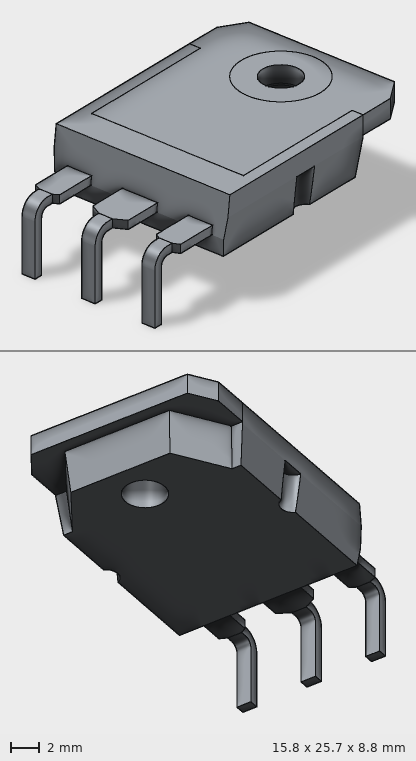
import cadquery as cq
import math


WIDTH = 15.8
LENGTH = 25.68
HEIGHT = 8.8
DRAFT_ANGLE = 7.0
DRAFT = math.tan(math.radians(DRAFT_ANGLE))

TAB_THICKNESS = 1.65
TAB_WIDE_LENGTH = 5.0
TAB_LENGTH = 16.97
RAIL_WIDTH = 1.0
CORNER_X = 1.28
CORNER_Y = 2.0

HOLE_Y = -4.5
HOLE_DIAMETER = 3.3
RING_DIAMETER = 7.2
RING_DEPTH = 1.5

HOUSING_DEPTH = 5.0
HOUSING_FRONT = 19.67
FLANGE_DEPTH = 1.8
PARTING_DEPTH = 3.52
NOSE_REAR = 1.0
NOSE_REAR_WIDTH = 8.83
NOSE_OVERLAP = 1.15
NOTCH_Y = -11.32
NOTCH_RADIUS = 0.98

LEAD_THICKNESS = 0.75
LEAD_TOP = LEAD_THICKNESS - PARTING_DEPTH
BLADE_END = 23.78
BEND_RADIUS = 1.39
SIDE_BLADE_X = 5.5
SIDE_BLADE_WIDTH = 2.2
SIDE_BLADE_SHOULDER = 23.52
CENTRE_BLADE_WIDTH = 3.2
CENTRE_BLADE_SHOULDER = 23.25
SIDE_PIN_X = 5.45
SIDE_PIN_WIDTH = 1.18
CENTRE_PIN_WIDTH = 1.23


def drilled(body, diameter, depth):
    """Cut a round hole on the mounting axis, from the top face down."""
    hole = cq.Workplane("XY").center(0, HOLE_Y).circle(diameter / 2).extrude(-depth)
    return body.cut(hole)


def make_ring():
    ring = cq.Workplane("XY").center(0, HOLE_Y).circle(RING_DIAMETER / 2).extrude(-RING_DEPTH)
    return drilled(ring, HOLE_DIAMETER, RING_DEPTH)


def make_tab():
    """Wide rear plate with cut corners, and a narrower plate between the housing rails."""
    wide_half = WIDTH / 2
    narrow_half = wide_half - RAIL_WIDTH
    right_edge = [
        (wide_half - CORNER_X, 0),
        (wide_half, -CORNER_Y),
        (wide_half, -TAB_WIDE_LENGTH),
        (narrow_half, -TAB_WIDE_LENGTH),
        (narrow_half, -TAB_LENGTH),
    ]
    left_edge = [(-x, y) for x, y in reversed(right_edge)]
    tab = cq.Workplane("XY").polyline(right_edge + left_edge).close().extrude(-TAB_THICKNESS)
    tab = drilled(tab, RING_DIAMETER, RING_DEPTH)
    return drilled(tab, HOLE_DIAMETER, TAB_THICKNESS)


def housing_block():
    """Main block: the long section across its width, trimmed by the drafted cross-section."""
    rear_bottom = -TAB_WIDE_LENGTH - (HOUSING_DEPTH - FLANGE_DEPTH) * DRAFT
    front_parting = -HOUSING_FRONT - PARTING_DEPTH * DRAFT
    front_bottom = front_parting + (HOUSING_DEPTH - PARTING_DEPTH) * DRAFT
    long_section = [
        (-TAB_WIDE_LENGTH, 0),
        (-TAB_WIDE_LENGTH, -FLANGE_DEPTH),
        (rear_bottom, -HOUSING_DEPTH),
        (front_bottom, -HOUSING_DEPTH),
        (front_parting, -PARTING_DEPTH),
        (-HOUSING_FRONT, 0),
    ]
    block = cq.Workplane("YZ").polyline(long_section).close().extrude(WIDTH / 2, both=True)

    bottom_half = WIDTH / 2 - (HOUSING_DEPTH - FLANGE_DEPTH) * DRAFT
    right_edge = [(WIDTH / 2, 0), (WIDTH / 2, -FLANGE_DEPTH), (bottom_half, -HOUSING_DEPTH)]
    left_edge = [(-x, z) for x, z in reversed(right_edge)]
    cross_section = cq.Workplane("XZ").polyline(right_edge + left_edge).close().extrude(LENGTH)
    return block.intersect(cross_section)


def housing_nose():
    """Drafted nose under the wide part of the tab, its sides parallel to the tab's cut corners."""
    front = TAB_WIDE_LENGTH + NOSE_OVERLAP
    rear_half = NOSE_REAR_WIDTH / 2
    front_half = rear_half + (front - NOSE_REAR) * CORNER_X / CORNER_Y
    outline = [
        (rear_half, -NOSE_REAR),
        (front_half, -front),
        (-front_half, -front),
        (-rear_half, -NOSE_REAR),
    ]
    return (
        cq.Workplane("XY", origin=(0, 0, -TAB_THICKNESS))
        .polyline(outline)
        .close()
        .extrude(TAB_THICKNESS - HOUSING_DEPTH, taper=DRAFT_ANGLE)
    )


def side_notches():
    """Upright round notches in both drafted sides, below the flange."""
    return (
        cq.Workplane("XY", origin=(0, NOTCH_Y, -FLANGE_DEPTH))
        .pushPoints([(-WIDTH / 2, 0), (WIDTH / 2, 0)])
        .circle(NOTCH_RADIUS)
        .extrude(FLANGE_DEPTH - HOUSING_DEPTH)
    )


def make_housing(tab, ring, blades):
    """Moulded body with a recess for the tab and ring, and a socket for each blade."""
    housing = housing_block().union(housing_nose()).cut(side_notches())
    housing = drilled(housing, HOLE_DIAMETER, HOUSING_DEPTH)
    housing = housing.cut(tab).cut(ring)
    for blade in blades:
        housing = housing.cut(blade)
    return housing


def make_blade(x, width, shoulder, pin_x, pin_width):
    """Flat wide part of a lead, from inside the housing to a neck as wide as the pin."""
    outline = [
        (x - width / 2, -HOUSING_FRONT),
        (x - width / 2, -shoulder),
        (pin_x - pin_width / 2, -BLADE_END),
        (pin_x + pin_width / 2, -BLADE_END),
        (x + width / 2, -shoulder),
        (x + width / 2, -HOUSING_FRONT),
    ]
    return (
        cq.Workplane("XY", origin=(0, 0, LEAD_TOP))
        .polyline(outline)
        .close()
        .extrude(-LEAD_THICKNESS)
    )


def make_pin(x, width):
    """Narrow part of a lead, bent down through a right angle."""
    inner_radius = BEND_RADIUS - LEAD_THICKNESS
    bend_y = BEND_RADIUS - LENGTH
    bend_z = LEAD_TOP - BEND_RADIUS
    diagonal = math.sqrt(0.5)
    return (
        cq.Workplane("YZ", origin=(x, 0, 0))
        .moveTo(-BLADE_END, LEAD_TOP)
        .lineTo(bend_y, LEAD_TOP)
        .threePointArc(
            (bend_y - BEND_RADIUS * diagonal, bend_z + BEND_RADIUS * diagonal),
            (-LENGTH, bend_z),
        )
        .lineTo(-LENGTH, -HEIGHT)
        .lineTo(LEAD_THICKNESS - LENGTH, -HEIGHT)
        .lineTo(LEAD_THICKNESS - LENGTH, bend_z)
        .threePointArc(
            (bend_y - inner_radius * diagonal, bend_z + inner_radius * diagonal),
            (bend_y, -PARTING_DEPTH),
        )
        .lineTo(-BLADE_END, -PARTING_DEPTH)
        .close()
        .extrude(width / 2, both=True)
    )


ring = make_ring()
tab = make_tab()

side_blade = (SIDE_BLADE_WIDTH, SIDE_BLADE_SHOULDER)
leads = [
    (-SIDE_BLADE_X, *side_blade, -SIDE_PIN_X, SIDE_PIN_WIDTH),
    (0, CENTRE_BLADE_WIDTH, CENTRE_BLADE_SHOULDER, 0, CENTRE_PIN_WIDTH),
    (SIDE_BLADE_X, *side_blade, SIDE_PIN_X, SIDE_PIN_WIDTH),
]
blades = []
pins = []
for blade_x, blade_width, shoulder, pin_x, pin_width in leads:
    blades.append(make_blade(blade_x, blade_width, shoulder, pin_x, pin_width))
    pins.append(make_pin(pin_x, pin_width))

housing = make_housing(tab, ring, blades)

lead_solids = [part.val() for part in blades + pins]
result = cq.Compound.makeCompound([housing.val(), tab.val(), ring.val(), *lead_solids])